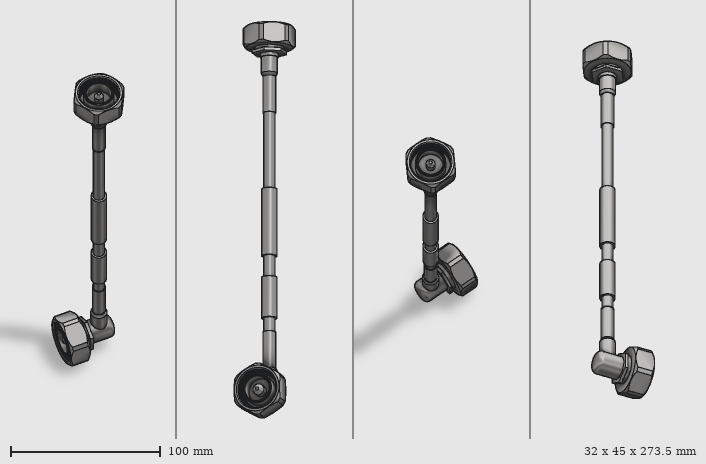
import cadquery as cq
import math


overall_length = 273.5
overall_depth = 45.0
nut_across_flats = 32.0
nut_corner_diameter = 35.3
nut_face_diameter = 31.5
nut_chamfer_height = 1.6
nut_length = 14.2
bore_radius = 13.5
bore_chamfer = 0.8
bore_depth = 11.2
thread_grooves = 6
thread_pitch = 1.5
thread_depth = 0.8
thread_start = 1.5

tube_outer_radius = 10.0
tube_inner_radius = 8.5
tube_chamfer = 0.5
tube_recess = 0.3
socket_depth = 9.5
straight_pin_radius = 3.0
elbow_pin_radius = 3.8
pin_recess = 1.0
pin_nose_length = 2.7
pin_tip_radius = 1.0
seat_radius = 12.5
seat_height = 1.0
seat_chamfer = 0.8

neck_radius = 9.8
straight_neck_length = 2.0
elbow_neck_length = 2.7
wrench_across_flats = 20.2
wrench_thickness = 2.2

step_radius = 6.0
step_length = 2.5
ferrule_radius = 5.5
ferrule_length = 11.0
taper_length = 2.2
boot_radius = 4.5
boot_length = 25.2

elbow_radius = 8.0
elbow_back = 9.3
elbow_rounding = 3.5
elbow_ferrule_top = 18.0

cable_radius = 3.8
sleeve_radius = 5.2
long_sleeve_bottom = 98.0
long_sleeve_length = 46.2
short_sleeve_bottom = 55.0
short_sleeve_length = 28.2

nut_corner_radius = nut_corner_diameter / 2
nut_chamfer_width = (nut_corner_diameter - nut_face_diameter) / 2

straight_face_height = overall_length - nut_corner_radius
plug_reach = overall_depth - nut_corner_radius


def cylinder(radius, bottom, top):
    """Round bar on the Z axis between two heights."""
    return cq.Workplane("XY").workplane(offset=bottom).circle(radius).extrude(top - bottom)


def hexagon(across_flats, bottom, top):
    """Hexagonal bar on the Z axis with two corners on the Y axis."""
    across_corners = across_flats / math.cos(math.pi / 6)
    bar = cq.Workplane("XY").workplane(offset=bottom).polygon(6, across_corners).extrude(top - bottom)
    return bar.rotate((0, 0, 0), (0, 0, 1), 30)


def thread_groove(top):
    """V-shaped ring cut into the wall of the nut cavity."""
    return (
        cq.Workplane("XZ")
        .moveTo(bore_radius, top)
        .lineTo(bore_radius + thread_depth, top - thread_pitch / 2)
        .lineTo(bore_radius, top - thread_pitch)
        .close()
        .revolve(360, (0, 0, 0), (0, 1, 0))
    )


def coupling_nut():
    """Hex nut with turned corners and a round cavity; its open face is at Z = 0."""
    envelope = (
        cylinder(nut_corner_radius, -nut_length, 0)
        .edges()
        .chamfer(nut_chamfer_height, nut_chamfer_width)
    )
    nut = hexagon(nut_across_flats, -nut_length, 0).intersect(envelope)
    cavity = cylinder(bore_radius, -bore_depth, 0)
    countersink = cq.Workplane("XY").circle(bore_radius + bore_chamfer).extrude(-bore_chamfer, taper=45)
    nut = nut.cut(cavity).cut(countersink)
    for index in range(thread_grooves):
        nut = nut.cut(thread_groove(-thread_start - index * thread_pitch))
    return nut


def contacts(pin_radius):
    """Contact tube and centre pin standing on the floor of the nut cavity."""
    tube = cylinder(tube_outer_radius, -bore_depth, -tube_recess)
    socket = cylinder(tube_inner_radius, -socket_depth, -tube_recess)
    tube = tube.cut(socket).faces(">Z").edges().chamfer(tube_chamfer)
    pin = (
        cylinder(pin_radius, -socket_depth, -pin_recess)
        .faces(">Z").edges()
        .chamfer(pin_nose_length, pin_radius - pin_tip_radius)
    )
    return tube.union(pin)


def plug(neck_length, pin_radius):
    """Nut, contacts, neck and wrench collar; the open face is at Z = 0, the rest below it."""
    neck_end = -nut_length - neck_length
    neck = cylinder(neck_radius, neck_end, -nut_length)
    wrench_collar = hexagon(wrench_across_flats, neck_end - wrench_thickness, neck_end)
    return coupling_nut().union(contacts(pin_radius)).union(neck).union(wrench_collar)


def plug_length(neck_length):
    return nut_length + neck_length + wrench_thickness


def ferrule_and_boot(start, taper_start, direction):
    """Ferrule, taper and hollow boot along Z; direction is +1 upward or -1 downward."""
    taper_end = taper_start + direction * taper_length
    boot_end = taper_end + direction * boot_length
    return (
        cq.Workplane("XZ")
        .moveTo(0, start)
        .lineTo(ferrule_radius, start)
        .lineTo(ferrule_radius, taper_start)
        .lineTo(boot_radius, taper_end)
        .lineTo(boot_radius, boot_end)
        .lineTo(cable_radius, boot_end)
        .lineTo(cable_radius, taper_end)
        .lineTo(0, taper_end)
        .close()
        .revolve(360, (0, 0, 0), (0, 1, 0))
    )


step_top = straight_face_height - plug_length(straight_neck_length)
step_bottom = step_top - step_length
straight_taper_start = step_bottom - ferrule_length
cable_bottom = elbow_ferrule_top + taper_length
cable_top = straight_taper_start - taper_length


def make_straight_connector():
    head = plug(straight_neck_length, straight_pin_radius).translate((0, 0, straight_face_height))
    step = cylinder(step_radius, step_bottom, step_top)
    return head.union(step).union(ferrule_and_boot(step_bottom, straight_taper_start, -1))


def make_elbow_connector():
    """Plug facing -Y on a round body, with the ferrule rising from the body."""
    collar_back = plug_length(elbow_neck_length)
    body = (
        cylinder(elbow_radius, -plug_reach - elbow_back, -collar_back)
        .faces("<Z").edges()
        .fillet(elbow_rounding)
    )
    seat = (
        cylinder(seat_radius, -bore_depth, -bore_depth + seat_height)
        .faces(">Z").edges()
        .chamfer(seat_chamfer)
    )
    head = plug(elbow_neck_length, elbow_pin_radius).union(seat).union(body)
    head = head.rotate((0, 0, 0), (1, 0, 0), 90).translate((0, -plug_reach, 0))
    return head.union(ferrule_and_boot(0, elbow_ferrule_top, 1))


def make_cable():
    return cylinder(cable_radius, cable_bottom, cable_top)


def make_sleeve(bottom, length):
    return (
        cq.Workplane("XY")
        .workplane(offset=bottom)
        .circle(sleeve_radius)
        .circle(cable_radius)
        .extrude(length)
    )


straight_connector = make_straight_connector()
elbow_connector = make_elbow_connector()
cable = make_cable()
sleeves = [
    make_sleeve(bottom, length).val()
    for bottom, length in (
        (long_sleeve_bottom, long_sleeve_length),
        (short_sleeve_bottom, short_sleeve_length),
    )
]

result = cq.Compound.makeCompound(
    [straight_connector.val(), elbow_connector.val(), cable.val(), *sleeves]
)